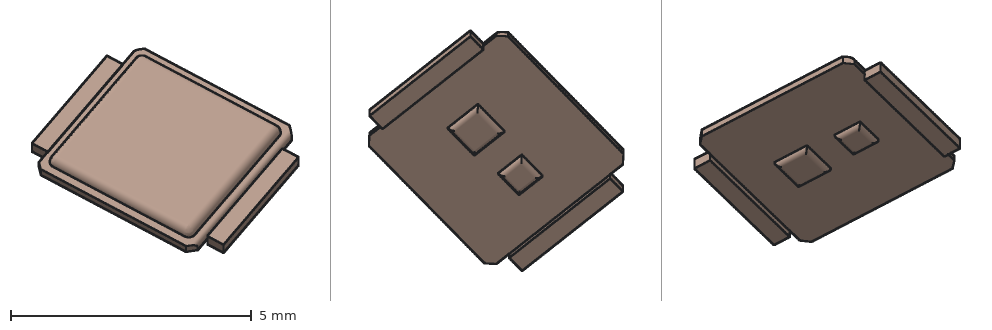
import cadquery as cq

total_length = 4.8
total_height = 0.56

terminal_length = 0.41
terminal_width = 2.795
terminal_height = 0.28

plate_length = total_length - 2 * terminal_length
plate_width = 3.85
plate_bottom = 0.18
plate_top = 0.375
plate_corner_chamfer = 0.175
plate_edge_radius = plate_top - terminal_height

lid_length = 3.6
lid_width = 3.455
lid_corner_radius = 0.15
lid_edge_radius = 0.18

contact_pads = [(-0.76, 0.655), (0.635, 0.835)]
pad_bottom = 0.05
pad_edge_radius = 0.115


def block(length, width, bottom, top, x_center=0):
    """Box centred on Y = 0 between two heights."""
    box = cq.Workplane("XY").box(length, width, top - bottom, centered=(True, True, False))
    return box.translate((x_center, 0, bottom))


def base_plate():
    """Plate with cut corners and its two upper end edges rounded."""
    plate = block(plate_length, plate_width, plate_bottom, plate_top)
    plate = plate.edges(">Z and |Y").fillet(plate_edge_radius)
    corner_prism = block(plate_length, plate_width, plate_bottom, plate_top)
    corner_prism = corner_prism.edges("|Z").chamfer(plate_corner_chamfer)
    return plate.intersect(corner_prism)


def lid():
    """Low block with rounded corners and a rounded upper rim."""
    body = block(lid_length, lid_width, plate_top, total_height)
    body = body.edges("|Z").fillet(lid_corner_radius)
    return body.faces(">Z").edges().fillet(lid_edge_radius)


def terminal(side):
    """Rectangular terminal against one end of the plate."""
    x_center = side * (total_length - terminal_length) / 2
    return block(terminal_length, terminal_width, 0, terminal_height, x_center)


def contact_pad(x_center, size):
    """Square pad with rounded lower edges."""
    pad = block(size, size, pad_bottom, plate_bottom, x_center)
    return pad.edges("<Z").fillet(pad_edge_radius)


result = base_plate().union(lid())
for side in (-1, 1):
    result = result.union(terminal(side))
for x_center, size in contact_pads:
    result = result.union(contact_pad(x_center, size))